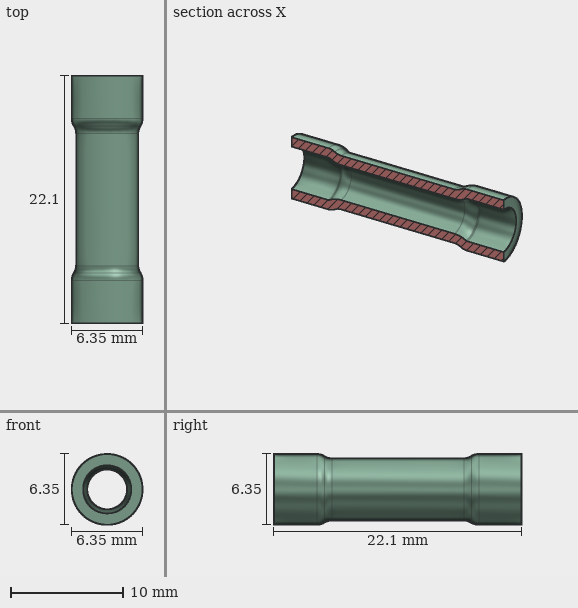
import cadquery as cq
import math

length = 22.1
socket_diameter = 6.35
barrel_diameter = 5.57
wall = 1.02
socket_length = 3.82
transition_length = 1.33

half_length = length / 2
socket_radius = socket_diameter / 2
barrel_radius = barrel_diameter / 2
socket_end = half_length - socket_length
barrel_end = socket_end - transition_length

half_run = transition_length / 2
half_rise = (socket_radius - barrel_radius) / 2
bend_radius = (half_run**2 + half_rise**2) / (2 * half_rise)
bend_angle = math.asin(half_run / bend_radius)
socket_bend_center_x = socket_radius - bend_radius
barrel_bend_center_x = barrel_radius + bend_radius


def make_sleeve(inset):
    """Solid of revolution about Y, inset evenly from the outside of the sleeve."""
    end_radius = socket_radius - inset
    middle_radius = barrel_radius - inset
    socket_bend_radius = bend_radius - inset
    barrel_bend_radius = bend_radius + inset

    def socket_bend_point(angle):
        x = socket_bend_center_x + socket_bend_radius * math.cos(angle)
        y = socket_end - socket_bend_radius * math.sin(angle)
        return x, y

    def barrel_bend_point(angle):
        x = barrel_bend_center_x - barrel_bend_radius * math.cos(angle)
        y = barrel_end + barrel_bend_radius * math.sin(angle)
        return x, y

    def mirrored(point):
        return point[0], -point[1]

    socket_bend_middle = socket_bend_point(bend_angle / 2)
    barrel_bend_middle = barrel_bend_point(bend_angle / 2)
    inflection = socket_bend_point(bend_angle)

    profile = (
        cq.Workplane("XY")
        .moveTo(0, -half_length)
        .lineTo(end_radius, -half_length)
        .lineTo(end_radius, -socket_end)
        .threePointArc(mirrored(socket_bend_middle), mirrored(inflection))
        .threePointArc(mirrored(barrel_bend_middle), (middle_radius, -barrel_end))
        .lineTo(middle_radius, barrel_end)
        .threePointArc(barrel_bend_middle, inflection)
        .threePointArc(socket_bend_middle, (end_radius, socket_end))
        .lineTo(end_radius, half_length)
        .lineTo(0, half_length)
        .close()
    )
    return profile.revolve(360, (0, 0, 0), (0, 1, 0))


outer_body = make_sleeve(0)
bore = make_sleeve(wall)
result = outer_body.cut(bore)